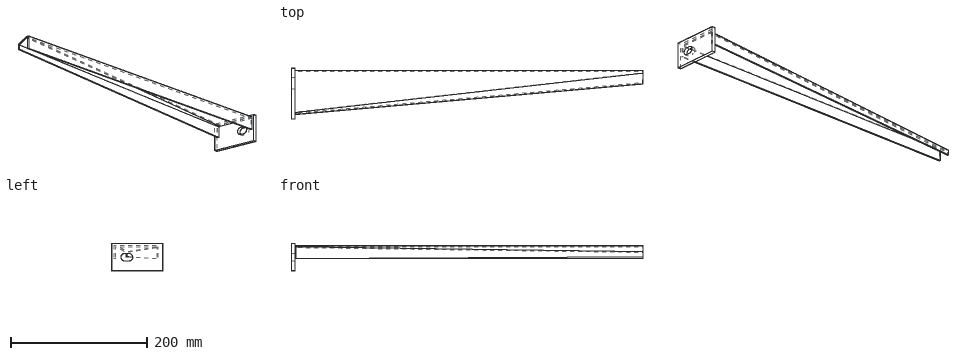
import cadquery as cq
import math

LENGTH = 516.0

PLATE_THICKNESS = 5.5
PLATE_WIDTH = 75.0
PLATE_HEIGHT = 40.0

SLOT_LENGTH = 17.0
SLOT_HEIGHT = 11.0
SLOT_EDGE_DISTANCE = 22.0

SHEET = 2.0
ARM_TOP_GAP = 3.0
ARM_SIDE_GAP = 3.0
ARM_HEIGHT = 19.0
ROOT_WIDTH = 65.0
TIP_WIDTH = 20.0
ROOT_BEVEL_WIDTH = 3.0
TIP_BEVEL_WIDTH = 16.0
BEVEL_ANGLE = math.radians(29)
TIP_WALL_RISE = 2.5

ROOT_GAP = 1.5
TIP_SETBACK = 0.5

ARM_TOP = PLATE_HEIGHT / 2 - ARM_TOP_GAP
ARM_BOTTOM = ARM_TOP - ARM_HEIGHT
ARM_BACK = PLATE_WIDTH / 2 - ARM_SIDE_GAP


def make_plate():
    plate = cq.Workplane("XY").box(
        PLATE_THICKNESS, PLATE_WIDTH, PLATE_HEIGHT, centered=(False, True, True)
    )
    slot = (
        cq.Workplane("YZ")
        .center(PLATE_WIDTH / 2 - SLOT_EDGE_DISTANCE, 0)
        .slot2D(SLOT_LENGTH, SLOT_HEIGHT)
        .extrude(PLATE_THICKNESS)
    )
    return plate.cut(slot)


def channel_section(width, bevel_width, wall_rise):
    """Points of the sheet's cross-section: outer side first, then back along the inner side."""
    front = ARM_BACK - width
    fold = front + bevel_width
    bevel_end = ARM_TOP - bevel_width * math.tan(BEVEL_ANGLE)
    wall_bottom = ARM_BOTTOM + wall_rise

    fold_shift = SHEET * math.tan(BEVEL_ANGLE / 2)
    bevel_shift = SHEET * math.tan((math.pi / 2 - BEVEL_ANGLE) / 2)

    return [
        (ARM_BACK, ARM_BOTTOM),
        (ARM_BACK, ARM_TOP),
        (fold, ARM_TOP),
        (front, bevel_end),
        (front, wall_bottom),
        (front + SHEET, wall_bottom),
        (front + SHEET, bevel_end - bevel_shift),
        (fold + fold_shift, ARM_TOP - SHEET),
        (ARM_BACK - SHEET, ARM_TOP - SHEET),
        (ARM_BACK - SHEET, ARM_BOTTOM),
    ]


def make_arm():
    root = channel_section(ROOT_WIDTH, ROOT_BEVEL_WIDTH, 0)
    tip = channel_section(TIP_WIDTH, TIP_BEVEL_WIDTH, TIP_WALL_RISE)
    channel = (
        cq.Workplane("YZ", origin=(PLATE_THICKNESS, 0, 0))
        .polyline(root)
        .close()
        .workplane(offset=LENGTH - PLATE_THICKNESS)
        .polyline(tip)
        .close()
        .loft(ruled=True)
    )

    root_front = ARM_BACK - ROOT_WIDTH
    root_fold = root_front + ROOT_BEVEL_WIDTH
    tip_front = ARM_BACK - TIP_WIDTH
    tip_fold = tip_front + TIP_BEVEL_WIDTH
    wall_start = PLATE_THICKNESS + ROOT_GAP
    wall_end = LENGTH - TIP_SETBACK
    outline = (
        cq.Workplane("XY")
        .polyline([
            (PLATE_THICKNESS, ARM_BACK),
            (PLATE_THICKNESS, root_fold),
            (wall_start, root_front),
            (wall_end, root_front),
            (wall_end, tip_front),
            (LENGTH, tip_fold),
            (wall_end, ARM_BACK),
        ])
        .close()
        .extrude(PLATE_HEIGHT / 2, both=True)
    )
    return channel.intersect(outline)


plate = make_plate()
arm = make_arm()
result = cq.Compound.makeCompound([plate.val(), arm.val()])